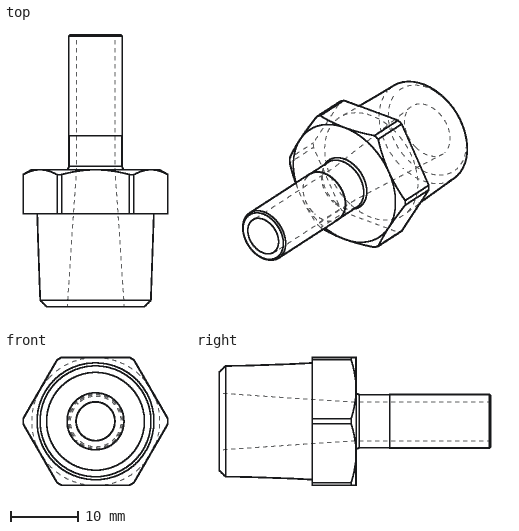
import cadquery as cq
import math

total_length = 40.3
thread_length = 13.8
hex_thickness = 6.53
hex_back = thread_length + hex_thickness

across_flats = 19.0
corner_diameter = 21.5
hex_chamfer_angle = 30.0

thread_root_radius = 8.65
thread_start_radius = 8.22
thread_chamfer = 0.95

stem_radius = 4.0
stem_edge_chamfer = 0.25
flare_length = 0.5
relief_radius = 3.95
relief_end = 25.3
flare_radius = 4.15

entry_radius = 4.25
through_radius = 2.85
cone_length = hex_back


def revolve_about_y(points):
    """Turn a closed (radius, Y) outline about the Y axis."""
    return cq.Workplane("XY").polyline(points).close().revolve(360, (0, 0, 0), (0, 1, 0))


def make_thread():
    return revolve_about_y([
        (0, 0),
        (thread_start_radius - thread_chamfer, 0),
        (thread_start_radius, thread_chamfer),
        (thread_root_radius, thread_length),
        (0, thread_length),
    ])


def make_hexagon():
    prism = (
        cq.Workplane("XZ", origin=(0, hex_back, 0))
        .polygon(6, across_flats / math.cos(math.radians(30)))
        .extrude(hex_thickness)
    )
    corner_radius = corner_diameter / 2
    face_radius = across_flats / 2
    chamfer_drop = (corner_radius - face_radius) * math.tan(math.radians(hex_chamfer_angle))
    envelope = revolve_about_y([
        (0, thread_length),
        (corner_radius, thread_length),
        (corner_radius, hex_back - chamfer_drop),
        (face_radius, hex_back),
        (0, hex_back),
    ])
    return prism.intersect(envelope)


def make_stem():
    return revolve_about_y([
        (0, hex_back),
        (flare_radius, hex_back),
        (relief_radius, hex_back + flare_length),
        (relief_radius, relief_end),
        (stem_radius, relief_end),
        (stem_radius, total_length - stem_edge_chamfer),
        (stem_radius - stem_edge_chamfer, total_length),
        (0, total_length),
    ])


def make_bore():
    return revolve_about_y([
        (0, 0),
        (entry_radius, 0),
        (through_radius, cone_length),
        (through_radius, total_length),
        (0, total_length),
    ])


result = make_thread().union(make_hexagon()).union(make_stem()).cut(make_bore())